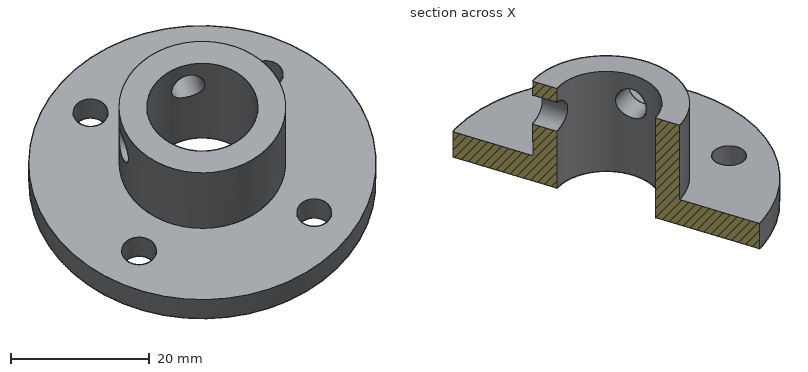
import cadquery as cq

flange_diameter = 50.0
flange_thickness = 4.5
bolt_hole_diameter = 5.0
bolt_circle_diameter = 37.0
bolt_count = 4
first_bolt_angle = 45.0

total_height = 17.5
hub_diameter = 24.0
bore_diameter = 16.0

screw_hole_diameter = 5.0
screw_hole_height = 12.5


def flanged_hub():
    """Round flange with a central hub, bored through."""
    flange = cq.Workplane("XY").circle(flange_diameter / 2).extrude(flange_thickness)
    hub = cq.Workplane("XY").circle(hub_diameter / 2).extrude(total_height)
    bore = cq.Workplane("XY").circle(bore_diameter / 2).extrude(total_height)
    return flange.union(hub).cut(bore)


def bolt_holes():
    """Cutters for the holes equally spaced around the flange."""
    return (
        cq.Workplane("XY")
        .polarArray(bolt_circle_diameter / 2, first_bolt_angle, 360, bolt_count)
        .circle(bolt_hole_diameter / 2)
        .extrude(flange_thickness)
    )


def screw_hole(direction):
    """Radial cutter from the hub axis outward, piercing one side of the wall."""
    return cq.Workplane(
        cq.Solid.makeCylinder(
            screw_hole_diameter / 2,
            hub_diameter / 2,
            cq.Vector(0, 0, screw_hole_height),
            direction,
        )
    )


result = flanged_hub().cut(bolt_holes())
for outward in (cq.Vector(-1, 0, 0), cq.Vector(0, -1, 0)):
    result = result.cut(screw_hole(outward))